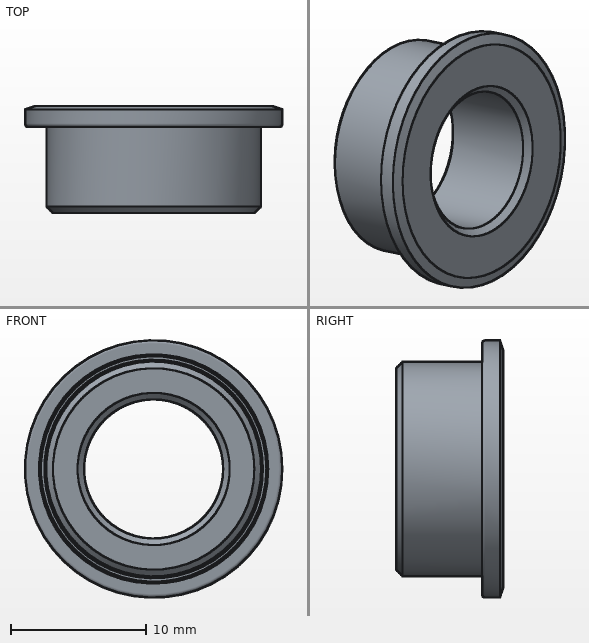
import cadquery as cq

flange_radius = 9.52
flange_thickness = 1.58
flange_edge_fillet = 0.25
body_radius = 15.89 / 2
bore_radius = 10.27 / 2
length = 7.95
end_chamfer = 0.5

back_bevel_width = 0.78
back_bevel_depth = 0.27

groove_width = 0.53
groove_depth = 0.15
groove_wall_run = 0.143

back_y = length / 2
front_y = -back_y
flange_face_y = back_y - flange_thickness


def revolve_profile(profile):
    """Turn a closed (radius, Y) profile about the Y axis."""
    return profile.close().revolve(360, (0, 0, 0), (0, 1, 0))


def make_body():
    """Sleeve chamfered at both ends of the bore and outside its front end."""
    return revolve_profile(
        cq.Workplane("XY")
        .moveTo(bore_radius + end_chamfer, front_y)
        .lineTo(body_radius - end_chamfer, front_y)
        .lineTo(body_radius, front_y + end_chamfer)
        .lineTo(body_radius, back_y)
        .lineTo(bore_radius + end_chamfer, back_y)
        .lineTo(bore_radius, back_y - end_chamfer)
        .lineTo(bore_radius, front_y + end_chamfer)
    )


def make_flange():
    """Flange ring with a rounded front edge and a beveled back rim."""
    inner_radius = (bore_radius + body_radius) / 2
    fillet_start = (flange_radius - flange_edge_fillet, flange_face_y)
    fillet_end = (flange_radius, flange_face_y + flange_edge_fillet)
    return revolve_profile(
        cq.Workplane("XY")
        .moveTo(inner_radius, flange_face_y)
        .lineTo(*fillet_start)
        .radiusArc(fillet_end, -flange_edge_fillet)
        .lineTo(flange_radius, back_y - back_bevel_depth)
        .lineTo(flange_radius - back_bevel_width, back_y)
        .lineTo(inner_radius, back_y)
    )


def make_relief_groove():
    """Cutting ring for the trapezoidal groove at the root of the flange."""
    floor_y = flange_face_y + groove_depth
    outer_radius = body_radius + groove_width
    return revolve_profile(
        cq.Workplane("XY")
        .moveTo(body_radius, flange_face_y)
        .lineTo(body_radius + groove_wall_run, floor_y)
        .lineTo(outer_radius - groove_wall_run, floor_y)
        .lineTo(outer_radius, flange_face_y)
    )


result = make_body().union(make_flange()).cut(make_relief_groove())